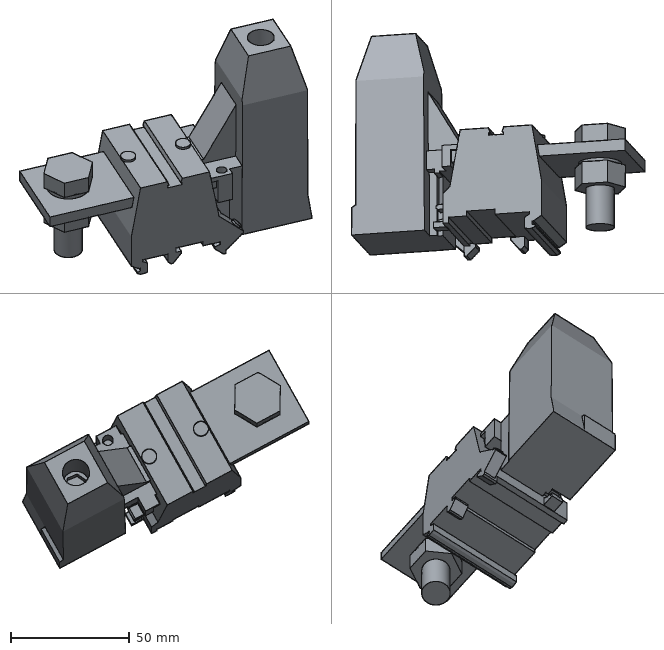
import cadquery as cq
import math

length = 119.4
height = 92.3
width = 44.0
half_width = width / 2

tower_bottom = 4.0
tower_half_base = 16.4
tower_half_shoulder = 16.0
tower_half_top = 10.3
side_shoulder = 71.4
front_shoulder = 74.2
back_shoulder = 71.9
tower_front_base = 87.6
tower_front_shoulder = 88.1
tower_front_top = 93.0
tower_back = 117.6
tower_back_top = 112.2
foot_top = 17.1
foot_edge = 16.0
wedge_bottom = 5.1
screw_y = (tower_front_top + tower_back_top) / 2
bore_diameter = 11.3
bore_depth = 23.9
socket_corners = 9.1
socket_depth = 4.8
socket_turn = 25.0

gusset_width = 17.1
gusset_top = 66.9
gusset_end = 71.4
gusset_toe_y = 73.3
gusset_toe_z = 42.0
arm_top = 39.9
arm_bottom = 30.6
arm_root_bottom = 31.6
arm_neck_bottom = 29.9
arm_left = -12.1
arm_right = 16.1
flange_left = -18.9
flange_right = 19.6
flange_left_back = 79.4
flange_right_back = 82.2
flange_front = 72.5
flange_step = 75.6
tongue_left = -14.6
tongue_right = 15.3
lug_bottom = 26.3
lug_hole_x = 15.6
lug_left = 2 * lug_hole_x - flange_right
lug_hole_y = 78.7
lug_hole_diameter = 4.4
lug_hole_depth = 9.5

plate_front = 84.4
plate_left = -7.2
wall_left = -6.0
bevel_bottom = 17.7
bevel_run = 1.9

block_top = 45.4
block_back = 78.2
back_knee = 17.8
upper_knee_y = 75.1
upper_knee = 20.8
shoulder_slope = (upper_knee - back_knee) / (block_back - upper_knee_y)
rail_seat = 7.3
rail_relief = 9.4
groove_floor = 42.2
screw_head_diameter = 6.3
screw_head_height = 1.1
screw_head_places = (42.4, 67.3)

slide_left = tower_half_base
hook_left = slide_left - 1.2
slide_tip = 86.2
slide_tip_bottom = 9.3
button_x = 19.2
button_y = 83.7
button_diameter = 4.5
button_height = 1.0

pin_left = -15.0
pin_right = -9.5
upper_pin_bottom = 13.0
upper_pin_top = 15.2
upper_pin_tip = 83.0
upper_pin_chamfer = 0.7
lower_pin_bottom = 5.1
lower_pin_top = 7.6
lower_pin_tip = 84.1
web_inset = 0.6
web_tip = 82.4
web_tip_top = 8.6
web_middle = (79.5, 9.3)
web_root_top = 11.0

bar_width = 35.1
bar_bottom = 32.7
bar_top = 37.7
bolt_y = 15.2
bolt_flats = 19.1
point_along_y = 30
bolt_top = 47.4
nut_bottom = 21.6
washer_diameter = 18.2
lower_washer_bottom = 31.3
shank_diameter = 12.1
shank_bottom = 4.7


def box(x0, x1, y0, y1, z0, z1):
    return cq.Workplane("XY").box(x1 - x0, y1 - y0, z1 - z0, centered=False).translate((x0, y0, z0))


def side_plate(outline, x0, x1):
    """Extrude a closed (Y, Z) outline from x0 to x1."""
    return cq.Workplane("YZ").polyline(outline).close().extrude(x1 - x0).translate((x0, 0, 0))


def cylinder(x, y, diameter, z0, z1):
    return cq.Workplane("XY").center(x, y).circle(diameter / 2).extrude(z1 - z0).translate((0, 0, z0))


def hexagon(y, corners, z0, z1, turn):
    prism = cq.Workplane("XY").polygon(6, corners).extrude(z1 - z0)
    return prism.rotate((0, 0, 0), (0, 0, 1), turn).translate((0, y, z0))


def make_tower():
    side = side_plate(
        [
            (tower_front_base, tower_bottom),
            (tower_front_shoulder, front_shoulder),
            (tower_front_top, height),
            (tower_back_top, height),
            (tower_back, back_shoulder),
            (tower_back, foot_top),
            (length, foot_edge),
            (length, tower_bottom),
        ],
        -half_width,
        half_width,
    )
    right_half = [
        (tower_half_base, tower_bottom),
        (tower_half_shoulder, side_shoulder),
        (tower_half_top, height),
    ]
    left_half = [(-x, z) for x, z in reversed(right_half)]
    face = cq.Workplane("XZ").polyline(right_half + left_half).close().extrude(-length)
    wedge_cut = side_plate(
        [(length, wedge_bottom), (tower_back, foot_top), (length, foot_top)], 0, half_width
    )
    bore_floor = height - bore_depth
    bore = cylinder(0, screw_y, bore_diameter, bore_floor, height)
    socket = hexagon(screw_y, socket_corners, bore_floor - socket_depth, bore_floor, socket_turn)
    return side.intersect(face).cut(wedge_cut).cut(bore).cut(socket)


def make_gusset():
    outline = [
        (tower_front_shoulder, arm_top),
        (gusset_end, arm_top),
        (gusset_end, gusset_toe_z),
        (gusset_toe_y, gusset_toe_z),
        (tower_front_shoulder, gusset_top),
    ]
    return side_plate(outline, -gusset_width / 2, gusset_width / 2)


def make_arm():
    inside_tower = tower_front_shoulder
    arm = box(arm_left, arm_right, plate_front, inside_tower, arm_root_bottom, arm_top)
    arm = arm.union(box(arm_left, arm_right, flange_right_back, plate_front, arm_neck_bottom, arm_top))
    arm = arm.union(box(arm_left, arm_right, flange_step, flange_right_back, arm_bottom, arm_top))
    arm = arm.union(box(flange_left, 0, flange_step, flange_left_back, arm_bottom, arm_top))
    arm = arm.union(box(arm_left, flange_right, flange_step, flange_right_back, arm_bottom, arm_top))
    arm = arm.union(box(flange_left, flange_right, flange_front, flange_step, bar_top, arm_top))
    arm = arm.union(box(tongue_left, tongue_right, gusset_end, flange_step, bar_top, arm_top))
    arm = arm.union(box(lug_left, flange_right, flange_step, flange_right_back, lug_bottom, arm_bottom))
    return arm.cut(cylinder(lug_hole_x, lug_hole_y, lug_hole_diameter, arm_top - lug_hole_depth, arm_top))


def make_hanger():
    plate = box(plate_left, arm_right, plate_front, tower_front_shoulder, tower_bottom, arm_root_bottom)
    wall = box(wall_left, arm_right, flange_right_back, plate_front, tower_bottom, arm_neck_bottom)
    bevel = (
        cq.Workplane("XY")
        .polyline(
            [
                (wall_left, plate_front),
                (wall_left + bevel_run, plate_front),
                (wall_left, flange_right_back),
            ]
        )
        .close()
        .extrude(arm_neck_bottom - bevel_bottom)
        .translate((0, 0, bevel_bottom))
    )
    return plate.union(wall.cut(bevel))


def make_block():
    outline = [
        (39.4, block_top),
        (35.2, 20.9),
        (35.2, 5.4),
        (38.6, 3.2),
        (39.4, 3.2),
        (39.4, 1.9),
        (38.0, 1.4),
        (38.0, 0.7),
        (39.4, 0),
        (41.3, 0),
        (42.6, 0.4),
        (42.6, 5.0),
        (40.5, 6.3),
        (40.5, rail_seat),
        (55.5, rail_seat),
        (55.5, rail_relief),
        (67.8, rail_relief),
        (67.8, rail_seat),
        (75.7, rail_seat),
        (75.7, 4.8),
        (block_back, 4.8),
        (block_back, back_knee),
        (upper_knee_y, upper_knee),
        (70.7, block_top),
        (58.4, block_top),
        (57.7, 43.3),
        (58.3, 43.1),
        (58.3, groove_floor),
        (51.8, groove_floor),
        (51.8, 43.1),
        (52.4, 43.3),
        (51.7, block_top),
    ]
    block = side_plate(outline, -half_width, half_width)
    for y in screw_head_places:
        block = block.union(cylinder(0, y, screw_head_diameter, block_top, block_top + screw_head_height))
    return block


def make_rail_hooks():
    inside_block = rail_relief + 1.2
    middle = [
        (57.9, rail_seat),
        (57.9, 6.1),
        (54.2, 1.8),
        (53.3, 1.8),
        (52.0, 3.1),
        (52.0, inside_block),
        (55.5, inside_block),
        (55.5, rail_seat),
    ]
    back = [
        (block_back, inside_block),
        (block_back, 0.5),
        (77.0, 0.5),
        (73.2, 4.2),
        (73.2, 5.4),
        (75.7, 6.0),
        (75.7, inside_block),
    ]
    return side_plate(middle, hook_left, half_width).union(side_plate(back, hook_left, half_width))


def make_slide():
    slide_tip_top = back_knee - (slide_tip - block_back) * shoulder_slope
    outline = [
        (block_back, back_knee),
        (slide_tip, slide_tip_top),
        (slide_tip, slide_tip_bottom),
        (block_back, 2.1),
    ]
    slide = side_plate(outline, slide_left, half_width)
    button_z = back_knee - (button_y - block_back) * shoulder_slope
    surface = cq.Plane(origin=(button_x, button_y, button_z), xDir=(1, 0, 0), normal=(0, shoulder_slope, 1))
    button = cq.Workplane(surface).circle(button_diameter / 2).extrude(button_height)
    return slide.union(button)


def make_latch():
    upper = box(pin_left, pin_right, block_back, upper_pin_tip, upper_pin_bottom, upper_pin_top)
    upper = upper.faces(">Y").edges("|X").chamfer(upper_pin_chamfer)
    lower = box(pin_left, pin_right, block_back, lower_pin_tip, lower_pin_bottom, lower_pin_top)
    web = (
        cq.Workplane("YZ")
        .moveTo(block_back, lower_pin_top)
        .lineTo(web_tip, lower_pin_top)
        .lineTo(web_tip, web_tip_top)
        .threePointArc(web_middle, (block_back, web_root_top))
        .close()
        .extrude(pin_right - pin_left - web_inset)
        .translate((pin_left + web_inset, 0, 0))
    )
    return upper.union(lower).union(web)


def make_busbar():
    bar = box(-bar_width / 2, bar_width / 2, 0, flange_step, bar_bottom, bar_top)
    corners = bolt_flats / math.cos(math.pi / 6)
    bolt = cylinder(0, bolt_y, shank_diameter, shank_bottom, bar_top)
    bolt = bolt.union(hexagon(bolt_y, corners, arm_top, bolt_top, point_along_y))
    bolt = bolt.union(hexagon(bolt_y, corners, nut_bottom, lower_washer_bottom, point_along_y))
    bolt = bolt.union(cylinder(0, bolt_y, washer_diameter, lower_washer_bottom, arm_top))
    return bar.union(bolt)


result = make_block()
for piece in (
    make_busbar(),
    make_arm(),
    make_gusset(),
    make_tower(),
    make_hanger(),
    make_rail_hooks(),
    make_slide(),
    make_latch(),
):
    result = result.union(piece)